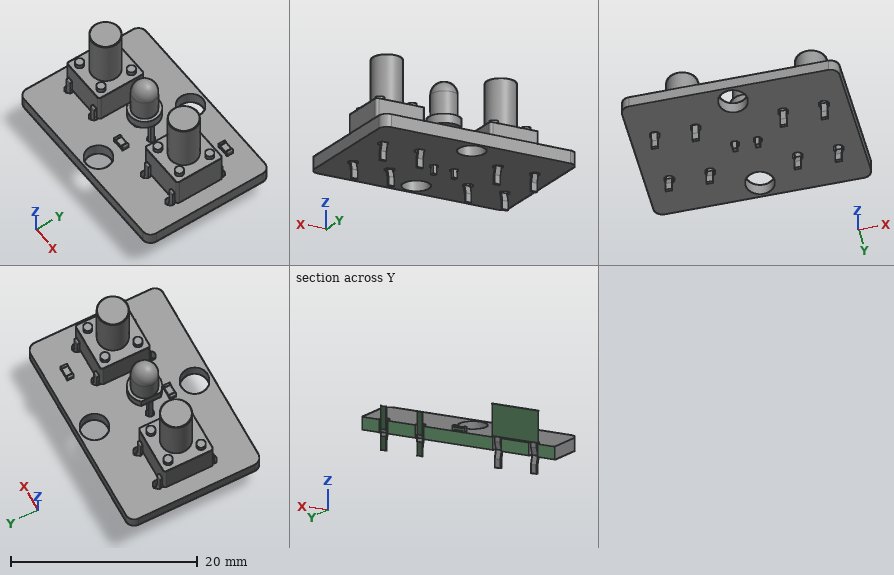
import cadquery as cq

BOARD_LENGTH = 24.0
BOARD_WIDTH = 16.0
BOARD_THICKNESS = 1.5
BOARD_CORNER_RADIUS = 1.0
MOUNTING_HOLE_DIAMETER = 3.2
MOUNTING_HOLE_Y = 6.05
SWITCH_HOLE_DIAMETER = 1.1
LED_HOLE_DIAMETER = 0.9

SWITCH_LEFT_X = -7.05
SWITCH_RIGHT_X = 7.1
SWITCH_OFFSET_Y = 0.12
HOUSING_SIDE = 6.0
HOUSING_TOP = 3.7
HOUSING_STANDOFF = 0.07
HOUSING_CORNER_RADIUS = 0.3
HOUSING_TOP_CHAMFER = 0.02
PLUNGER_DIAMETER = 3.5
PLUNGER_TOP = 9.6
PLUNGER_CHAMFER = 0.07
POST_DIAMETER = 1.0
POST_HEIGHT = 0.5
POST_OFFSET = 2.0

LEG_X = 2.25
LEG_WIDTH = 0.7
LEG_THICKNESS = 0.3
LEG_TOP = 1.58
LEG_TOP_RADIUS = 0.26
LEG_TIP_Z = -1.92
KINK_BOTTOM_Z = -0.9
KINK_PEAK_Z = 0.05
KINK_DEPTH = 0.26
SWITCH_HOLE_Y = 3.26

LED_DIAMETER = 3.0
FLANGE_DIAMETER = 3.8
FLANGE_BOTTOM = 3.02
FLANGE_TOP = 4.08
DOME_BOTTOM = 6.86
LED_LEAD_X = 1.25
LED_LEAD_SIDE = 0.48
LED_LEAD_TIP_Z = -0.9

CHIP_LENGTH = 1.6
CHIP_WIDTH = 0.8
CHIP_HEIGHT = 0.55
CAP_LENGTH = 0.3
CAP_THICKNESS = 0.1
CAP_EDGE_RADIUS = 0.05
CHIP_PLACES = [(0, -3.05), (7.1, 5.65)]

BOARD_TOP = BOARD_THICKNESS
SWITCH_PLACES = [(SWITCH_LEFT_X, -SWITCH_OFFSET_Y), (SWITCH_RIGHT_X, SWITCH_OFFSET_Y)]
LED_LEAD_POINTS = [(-LED_LEAD_X, 0), (LED_LEAD_X, 0)]
SIGNS = (-1, 1)


def at_height(z):
    """Horizontal workplane through the board's axis."""
    return cq.Workplane("XY", origin=(0, 0, z))


def make_board():
    """Rounded plate with mounting holes and clearance holes for legs and leads."""
    mounting_points = [(0, side * MOUNTING_HOLE_Y) for side in SIGNS]
    leg_points = [
        (switch_x + side_x * LEG_X, side_y * SWITCH_HOLE_Y)
        for switch_x, _ in SWITCH_PLACES
        for side_x in SIGNS
        for side_y in SIGNS
    ]
    board = (
        at_height(0)
        .rect(BOARD_LENGTH, BOARD_WIDTH)
        .extrude(BOARD_THICKNESS)
        .edges("|Z")
        .fillet(BOARD_CORNER_RADIUS)
    )
    for points, diameter in (
        (mounting_points, MOUNTING_HOLE_DIAMETER),
        (leg_points, SWITCH_HOLE_DIAMETER),
        (LED_LEAD_POINTS, LED_HOLE_DIAMETER),
    ):
        board = board.cut(at_height(0).pushPoints(points).circle(diameter / 2).extrude(BOARD_THICKNESS))
    return board


def make_leg():
    """Snap-in leg on the housing's +Y face, kinked outwards where it passes the board."""
    inner = HOUSING_SIDE / 2
    outer = inner + LEG_THICKNESS
    top = BOARD_TOP + LEG_TOP
    kink_top_z = 2 * KINK_PEAK_Z - KINK_BOTTOM_Z
    return (
        cq.Workplane("YZ")
        .moveTo(inner, top)
        .lineTo(inner, kink_top_z)
        .lineTo(inner + KINK_DEPTH, KINK_PEAK_Z)
        .lineTo(inner, KINK_BOTTOM_Z)
        .lineTo(inner, LEG_TIP_Z)
        .lineTo(outer, LEG_TIP_Z)
        .lineTo(outer, KINK_BOTTOM_Z)
        .lineTo(outer + KINK_DEPTH, KINK_PEAK_Z)
        .lineTo(outer, kink_top_z)
        .lineTo(outer, top - LEG_TOP_RADIUS)
        .radiusArc((outer - LEG_TOP_RADIUS, top), -LEG_TOP_RADIUS)
        .close()
        .extrude(LEG_WIDTH / 2, both=True)
    )


def make_switch(x, y):
    """Push button: housing, plunger, four corner posts and four legs in one piece."""
    housing_bottom_z = BOARD_TOP + HOUSING_STANDOFF
    housing_top_z = BOARD_TOP + HOUSING_TOP
    switch = (
        at_height(housing_bottom_z)
        .rect(HOUSING_SIDE, HOUSING_SIDE)
        .extrude(HOUSING_TOP - HOUSING_STANDOFF)
        .edges("|Z")
        .fillet(HOUSING_CORNER_RADIUS)
        .faces(">Z")
        .chamfer(HOUSING_TOP_CHAMFER)
    )
    plunger = (
        at_height(housing_top_z)
        .circle(PLUNGER_DIAMETER / 2)
        .extrude(PLUNGER_TOP - HOUSING_TOP)
        .faces(">Z")
        .chamfer(PLUNGER_CHAMFER)
    )
    posts = (
        at_height(housing_top_z)
        .rect(2 * POST_OFFSET, 2 * POST_OFFSET, forConstruction=True)
        .vertices()
        .circle(POST_DIAMETER / 2)
        .extrude(POST_HEIGHT)
    )
    switch = switch.union(plunger).union(posts)
    leg = make_leg()
    for side_x in SIGNS:
        for side_y in SIGNS:
            facing = leg if side_y > 0 else leg.mirror("XZ")
            switch = switch.union(facing.translate((side_x * LEG_X, 0, 0)))
    return switch.translate((x, y, 0))


def make_led():
    """Domed LED with a flattened flange and two square leads."""
    flange_z = BOARD_TOP + FLANGE_BOTTOM
    dome_z = BOARD_TOP + DOME_BOTTOM
    flange_height = FLANGE_TOP - FLANGE_BOTTOM
    flat_cutter = (
        at_height(flange_z)
        .center(-LED_DIAMETER / 2 - FLANGE_DIAMETER / 2, 0)
        .rect(FLANGE_DIAMETER, FLANGE_DIAMETER)
        .extrude(flange_height)
    )
    flange = at_height(flange_z).circle(FLANGE_DIAMETER / 2).extrude(flange_height).cut(flat_cutter)
    body = at_height(flange_z).circle(LED_DIAMETER / 2).extrude(dome_z - flange_z)
    dome = at_height(dome_z).sphere(LED_DIAMETER / 2)
    leads = (
        at_height(LED_LEAD_TIP_Z)
        .pushPoints(LED_LEAD_POINTS)
        .rect(LED_LEAD_SIDE, LED_LEAD_SIDE)
        .extrude(flange_z - LED_LEAD_TIP_Z)
    )
    return flange.union(body).union(dome).union(leads)


def make_chip(x, y):
    """Chip resistor: a core whose two end caps stand out above and below it."""
    core = (
        at_height(BOARD_TOP + CAP_THICKNESS)
        .rect(CHIP_LENGTH - 2 * CAP_THICKNESS, CHIP_WIDTH)
        .extrude(CHIP_HEIGHT - 2 * CAP_THICKNESS)
    )
    cap_x = (CHIP_LENGTH - CAP_LENGTH) / 2
    caps = (
        at_height(BOARD_TOP)
        .pushPoints([(-cap_x, 0), (cap_x, 0)])
        .rect(CAP_LENGTH, CHIP_WIDTH)
        .extrude(CHIP_HEIGHT)
    )
    caps = caps.edges("|Y and (<X or >X)").fillet(CAP_EDGE_RADIUS)
    return core.union(caps).translate((x, y, 0))


board = make_board()
switches = [make_switch(x, y) for x, y in SWITCH_PLACES]
led = make_led()
chips = [make_chip(x, y) for x, y in CHIP_PLACES]

result = cq.Compound.makeCompound(
    [
        board.val(),
        *[switch.val() for switch in switches],
        led.val(),
        *[chip.val() for chip in chips],
    ]
)